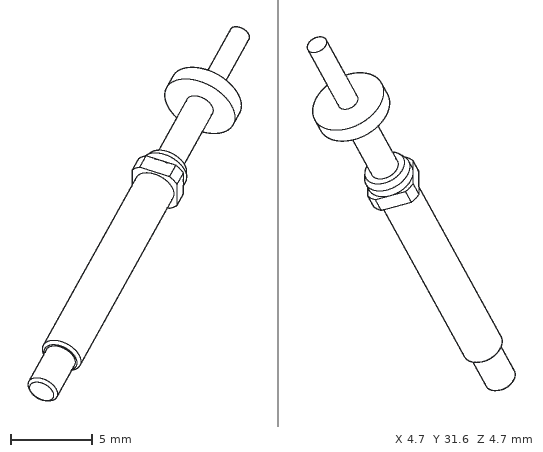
import cadquery as cq

total_length = 31.6
tip_length = 3.0
body_length = 15.0
collar_length = 2.0
sleeve_length = 5.2
disc_thickness = 1.05

tip_diameter = 2.0
body_diameter = 2.6
collar_diameter = 3.0
sleeve_diameter = 1.8
disc_diameter = 4.7
tail_diameter = 1.3

square_across_flats = collar_diameter
square_corner_diameter = 3.6
square_length = 1.0

tip_chamfer = 0.2
body_chamfer = 0.2
collar_taper_length = 0.45
collar_taper_depth = 0.2

tip_start = -total_length / 2
body_start = tip_start + tip_length
collar_start = body_start + body_length
sleeve_start = collar_start + collar_length
disc_start = sleeve_start + sleeve_length
tail_start = disc_start + disc_thickness
tail_length = total_length / 2 - tail_start


def workplane_at(y):
    """Plane across the axis at station y, with its normal pointing along +Y."""
    return cq.Workplane(cq.Plane(origin=(0, y, 0), xDir=(1, 0, 0), normal=(0, 1, 0)))


def cylinder(y, diameter, length):
    return workplane_at(y).circle(diameter / 2).extrude(length)


def make_collar():
    """Round collar, tapered toward the sleeve."""
    collar = cylinder(collar_start, collar_diameter, collar_length)
    return collar.faces(">Y").chamfer(collar_taper_length, collar_taper_depth)


def make_wrench_square():
    """Four wrench flats with corners turned to a larger diameter."""
    outline = workplane_at(collar_start).rect(square_across_flats, square_across_flats)
    square = outline.extrude(square_length)
    return square.intersect(cylinder(collar_start, square_corner_diameter, square_length))


tip = cylinder(tip_start, tip_diameter, tip_length).faces("<Y").chamfer(tip_chamfer)
body = cylinder(body_start, body_diameter, body_length).faces("<Y").chamfer(body_chamfer)
sleeve = cylinder(sleeve_start, sleeve_diameter, sleeve_length)
disc = cylinder(disc_start, disc_diameter, disc_thickness)
tail = cylinder(tail_start, tail_diameter, tail_length)

result = tip
for section in (body, make_collar(), make_wrench_square(), sleeve, disc, tail):
    result = result.union(section)